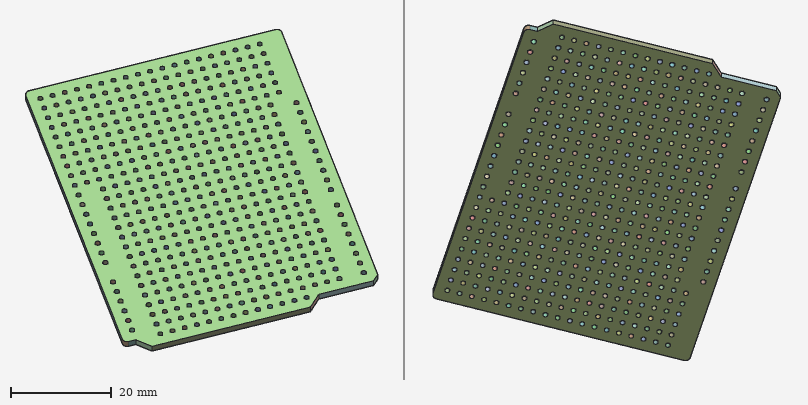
import cadquery as cq

length = 68.6
columns = 27
rows = 21
pitch = length / columns
width = rows * pitch
thickness = 1.6

corner_radius = 1.0
corner_chamfer = pitch / 2
body_right = (columns - 1) * pitch
tab_bottom_row = 1
tab_top_row = 16

small_diameter = 0.95
large_diameter = 1.0
offset_header_start = 7.4

edge_row = 1
field_bottom_row = 3
field_top_row = 18
top_row = rows - 1


def drill(board, positions, diameter):
    """Cut through holes at (column, row) positions, counted in pitches."""
    points = [(column * pitch, row * pitch) for column, row in positions]
    return board.cut(
        cq.Workplane("XY").pushPoints(points).circle(diameter / 2).extrude(thickness)
    )


def corner_edge(board, x, y):
    """Select the upright edge at one corner of the outline."""
    return board.edges(cq.selectors.NearestToPointSelector((x, y, thickness / 2)))


def make_board():
    """Plate with a side tab that tapers at 45 degrees over one pitch."""
    board = (
        cq.Workplane("XY")
        .moveTo(0, 0)
        .lineTo(body_right, 0)
        .lineTo(body_right, tab_bottom_row * pitch)
        .lineTo(length, (tab_bottom_row + 1) * pitch)
        .lineTo(length, (tab_top_row - 1) * pitch)
        .lineTo(body_right, tab_top_row * pitch)
        .lineTo(body_right, width)
        .lineTo(0, width)
        .close()
        .extrude(thickness)
    )
    for x, y in ((0, 0), (0, width), (body_right, 0)):
        board = corner_edge(board, x, y).fillet(corner_radius)
    return corner_edge(board, body_right, width).chamfer(corner_chamfer)


def span(first, last):
    """Columns or rows from the first to the last, both included."""
    return list(range(first, last + 1))


left_columns = span(1, 10)
lower_headers = span(11, 18) + span(20, 25)
upper_left_header = span(7, 16)
upper_right_header = span(18, 25)

large_holes = [(column, field_top_row) for column in upper_left_header + upper_right_header]
large_holes += [(column, row) for row in (edge_row, field_bottom_row) for column in lower_headers]

large_holes += [(offset_header_start + step, top_row) for step in range(len(upper_left_header))]
large_holes += [(column, top_row) for column in upper_right_header]

large_holes += [(column, row) for row in span(10, 12) for column in span(25, 26)]

field = [(column, row) for row in span(field_bottom_row, tab_top_row - 1) for column in span(1, 26)]
field += [(column, row) for row in span(tab_top_row, field_top_row) for column in span(1, 25)]

field += [(column, row) for row in span(edge_row, field_bottom_row - 1) for column in left_columns]
field += [(column, field_top_row + 1) for column in span(1, 6)]
small_holes = [position for position in field if position not in large_holes]

board = make_board()
board = drill(board, small_holes, small_diameter)
board = drill(board, large_holes, large_diameter)
result = board.solids()